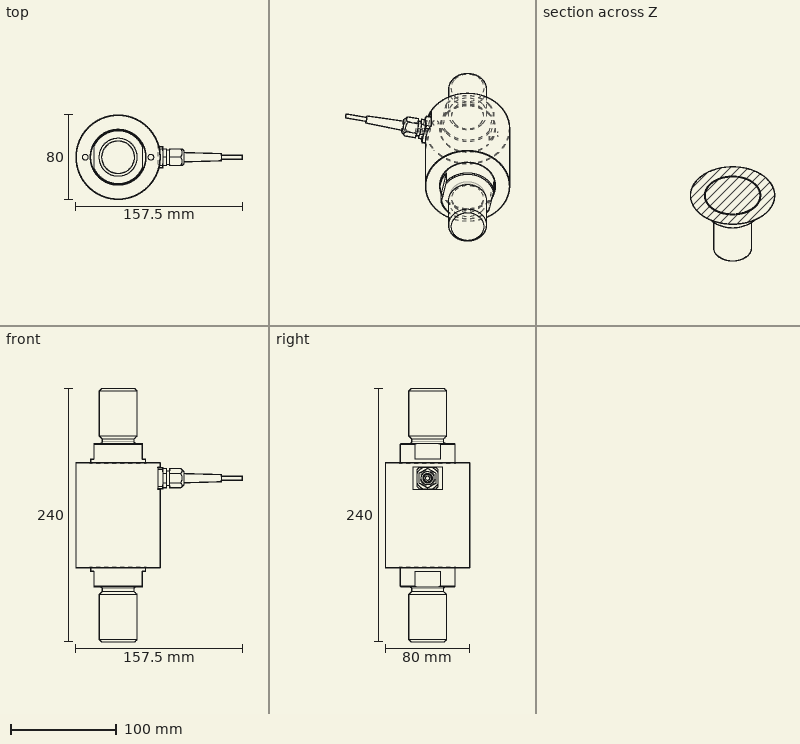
import cadquery as cq
import math

BODY_DIAMETER = 80.0
BODY_LENGTH = 100.0
BODY_CHAMFER = 0.5

COLLAR_DIAMETER = 52.0
COLLAR_LENGTH = 18.0
COLLAR_CHAMFER = 1.0

GAP_DIAMETER = 53.0
GAP_DEPTH = 1.0

ACROSS_FLATS = 46.0
FLAT_STEP = 3.0

OVERALL_LENGTH = 240.0
STUD_DIAMETER = 36.0
STUD_ROOT_DIAMETER = 30.3
STUD_TIP_CHAMFER = 2.5
RELIEF_LENGTH = 7.0
RELIEF_FILLET = 1.5

HOLE_DIAMETER = 5.5
HOLE_SPACING = 62.0
HOLE_DEPTH = 0.5

OUTLET_Z = 35.0
SEAT_X = 37.5
SEAT_HEIGHT = 21.0
BLOCK_SIZE = 20.0
BLOCK_LENGTH = 5.0
BLOCK_CORNER_CHAMFER = 2.0
BLOCK_FACE_DIAMETER = 22.0
BLOCK_CHAMFER_ANGLE = 67.0
HEX_ACROSS_FLATS = 16.0
FIXED_HEX_LENGTH = 3.4
NECK_DIAMETER = 14.0
NECK_LENGTH = 2.9
NUT_LENGTH = 13.7
NUT_FACE_DIAMETER = 12.4
NUT_CHAMFER_ANGLE = 42.0
BOOT_START_DIAMETER = 9.0
BOOT_END_DIAMETER = 7.0
BOOT_END_X = 97.7
CABLE_DIAMETER = 4.0
CABLE_END_X = 117.5

BODY_RADIUS = BODY_DIAMETER / 2
BODY_TOP = BODY_LENGTH / 2
COLLAR_RADIUS = COLLAR_DIAMETER / 2
COLLAR_TOP = BODY_TOP + COLLAR_LENGTH
STUD_RADIUS = STUD_DIAMETER / 2
STUD_ROOT_RADIUS = STUD_ROOT_DIAMETER / 2
STUD_TOP = OVERALL_LENGTH / 2
RELIEF_TAPER = STUD_RADIUS - STUD_ROOT_RADIUS
RELIEF_TOP = COLLAR_TOP + RELIEF_LENGTH
HEX_CORNER_DIAMETER = HEX_ACROSS_FLATS / math.cos(math.radians(30))
FIXED_HEX_X = SEAT_X + BLOCK_LENGTH
NECK_X = FIXED_HEX_X + FIXED_HEX_LENGTH
NUT_X = NECK_X + NECK_LENGTH
NUT_END_X = NUT_X + NUT_LENGTH


def make_body():
    """Main cylinder with both rims chamfered."""
    cylinder = cq.Workplane("XY", origin=(0, 0, -BODY_TOP)).circle(BODY_RADIUS).extrude(BODY_LENGTH)
    return cylinder.faces("|Z").edges().chamfer(BODY_CHAMFER)


def make_upper_end():
    """Collar, thread relief and stud, revolved about Z, with the spanner flats cut."""
    end = (
        cq.Workplane("XZ")
        .lineTo(COLLAR_RADIUS, 0)
        .lineTo(COLLAR_RADIUS, COLLAR_TOP - COLLAR_CHAMFER)
        .lineTo(COLLAR_RADIUS - COLLAR_CHAMFER, COLLAR_TOP)
        .lineTo(STUD_ROOT_RADIUS + RELIEF_FILLET, COLLAR_TOP)
        .radiusArc((STUD_ROOT_RADIUS, COLLAR_TOP + RELIEF_FILLET), RELIEF_FILLET)
        .lineTo(STUD_ROOT_RADIUS, RELIEF_TOP - RELIEF_TAPER)
        .lineTo(STUD_RADIUS, RELIEF_TOP)
        .lineTo(STUD_RADIUS, STUD_TOP - STUD_TIP_CHAMFER)
        .lineTo(STUD_RADIUS - STUD_TIP_CHAMFER, STUD_TOP)
        .lineTo(0, STUD_TOP)
        .close()
        .revolve(360, (0, 0, 0), (0, 1, 0))
    )
    for side in (-1, 1):
        cutter = cq.Workplane("XY").box(
            ACROSS_FLATS, COLLAR_DIAMETER, COLLAR_LENGTH - FLAT_STEP, centered=(True, True, False)
        )
        end = end.cut(cutter.translate((side * ACROSS_FLATS, 0, BODY_TOP + FLAT_STEP)))
    return end


def cut_collar_gaps(part):
    """Ring gap between each collar and the body face it rises from."""
    ring = cq.Workplane("XY").circle(GAP_DIAMETER / 2).circle(COLLAR_RADIUS).extrude(GAP_DEPTH)
    for base in (BODY_TOP - GAP_DEPTH, -BODY_TOP):
        part = part.cut(ring.translate((0, 0, base)))
    return part


def cut_face_holes(part):
    """Two shallow holes in the upper body face, either side of the collar."""
    for side in (-1, 1):
        hole = cq.Workplane("XY").circle(HOLE_DIAMETER / 2).extrude(HOLE_DEPTH)
        part = part.cut(hole.translate((side * HOLE_SPACING / 2, 0, BODY_TOP - HOLE_DEPTH)))
    return part


def cut_outlet_seat(part):
    """Flat milled across the +X side of the body for the cable outlet."""
    depth = BODY_RADIUS - SEAT_X
    cutter = cq.Workplane("XY").box(depth, BODY_DIAMETER, SEAT_HEIGHT, centered=(False, True, True))
    return part.cut(cutter.translate((SEAT_X, 0, OUTLET_Z)))


def outlet_plane(x):
    """Workplane on the outlet axis at x, facing +X with its local x along +Y."""
    return cq.Workplane("YZ", origin=(x, 0, OUTLET_Z))


def turn_end_chamfer(prism, start_x, end_x, face_diameter, angle):
    """Trim the +X end of a prism with a cone that leaves a round face on it."""
    growth = (end_x - start_x) * 2 * math.tan(math.radians(angle))
    envelope = (
        outlet_plane(end_x)
        .circle(face_diameter / 2)
        .workplane(offset=start_x - end_x)
        .circle((face_diameter + growth) / 2)
        .loft()
    )
    return prism.intersect(envelope)


def make_outlet():
    """Block, fixed hexagon, neck, union nut, kink guard and cable."""
    block = outlet_plane(SEAT_X).rect(BLOCK_SIZE, BLOCK_SIZE).extrude(BLOCK_LENGTH)
    block = block.edges("|X").chamfer(BLOCK_CORNER_CHAMFER)
    block = turn_end_chamfer(block, SEAT_X, FIXED_HEX_X, BLOCK_FACE_DIAMETER, BLOCK_CHAMFER_ANGLE)

    fixed_hex = outlet_plane(FIXED_HEX_X).transformed(rotate=(0, 0, 90))
    fixed_hex = fixed_hex.polygon(6, HEX_CORNER_DIAMETER).extrude(FIXED_HEX_LENGTH)
    neck = outlet_plane(NECK_X).circle(NECK_DIAMETER / 2).extrude(NECK_LENGTH)

    nut = outlet_plane(NUT_X).transformed(rotate=(0, 0, 90))
    nut = nut.polygon(6, HEX_CORNER_DIAMETER).extrude(NUT_LENGTH)
    nut = turn_end_chamfer(nut, NUT_X, NUT_END_X, NUT_FACE_DIAMETER, NUT_CHAMFER_ANGLE)

    boot = (
        outlet_plane(NUT_END_X)
        .circle(BOOT_START_DIAMETER / 2)
        .workplane(offset=BOOT_END_X - NUT_END_X)
        .circle(BOOT_END_DIAMETER / 2)
        .loft()
    )
    cable = outlet_plane(BOOT_END_X).circle(CABLE_DIAMETER / 2).extrude(CABLE_END_X - BOOT_END_X)
    return block.union(fixed_hex).union(neck).union(nut).union(boot).union(cable)


upper_end = make_upper_end()
lower_end = upper_end.mirror("XY")
body = cut_outlet_seat(cut_face_holes(cut_collar_gaps(make_body())))
result = body.union(upper_end).union(lower_end).union(make_outlet())